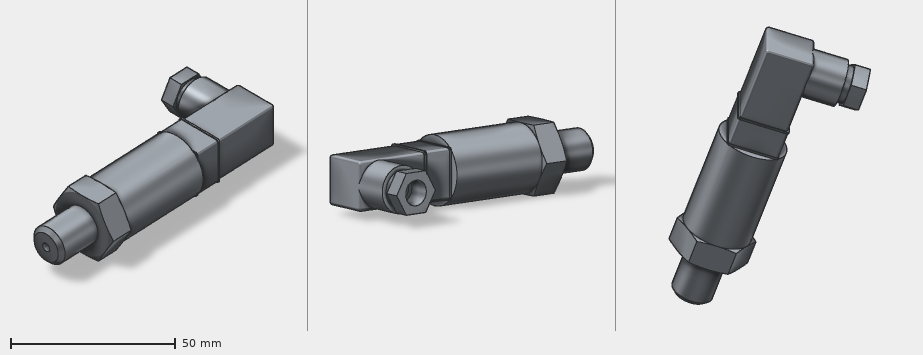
import cadquery as cq
import math

total_length = 92.5
total_width = 38.5

port_diameter = 13.1
port_length = 15.9
port_chamfer = 1.5
port_bore_diameter = 3.0
port_bore_depth = port_length

hex_across_flats = 22.0
hex_thickness = 8.6
hex_across_corners = hex_across_flats / math.cos(math.pi / 6)
hex_chamfer_angle = 15.0

body_diameter = hex_across_flats
body_length = 33.0

gasket_size = 16.6
gasket_thickness = 0.6
base_size = 16.1
base_length = 9.0
housing_size = 15.5
corner_radius = 1.0

gland_reach = total_width - hex_across_corners / 2
barrel_diameter = 15.0
neck_diameter = 12.0
neck_length = 2.2
nut_across_corners = barrel_diameter
nut_thickness = 4.9
cable_bore_diameter = 8.0
cable_bore_depth = nut_thickness + neck_length
inner_bore_diameter = 5.5
inner_bore_depth = gland_reach - housing_size / 2

hex_start = port_length
body_start = hex_start + hex_thickness
body_end = body_start + body_length
base_start = body_end + gasket_thickness
base_end = base_start + base_length
housing_start = base_end + gasket_thickness
gland_y = total_length - barrel_diameter / 2


def plane_at_y(y):
    """Plane facing +Y at station y, with its local x along -X."""
    return cq.Workplane(cq.Plane(origin=(0, y, 0), xDir=(-1, 0, 0), normal=(0, 1, 0)))


def plane_at_x(x):
    """Plane on the gland axis facing +X, with its local x along Y."""
    return cq.Workplane(cq.Plane(origin=(x, gland_y, 0), xDir=(0, 1, 0), normal=(1, 0, 0)))


def make_port():
    port = plane_at_y(0).circle(port_diameter / 2).extrude(port_length)
    return port.faces("<Y").chamfer(port_chamfer)


def make_hexagon():
    """Hexagon whose corners are trimmed by a cone at both ends."""
    flat_radius = hex_across_flats / 2
    corner_reach = hex_across_corners / 2
    trim_depth = (corner_reach - flat_radius) * math.tan(math.radians(hex_chamfer_angle))
    prism = plane_at_y(hex_start).polygon(6, hex_across_corners).extrude(hex_thickness)
    envelope = (
        cq.Workplane("XY")
        .moveTo(0, hex_start)
        .lineTo(flat_radius, hex_start)
        .lineTo(corner_reach, hex_start + trim_depth)
        .lineTo(corner_reach, body_start - trim_depth)
        .lineTo(flat_radius, body_start)
        .lineTo(0, body_start)
        .close()
        .revolve(360, (0, 0, 0), (0, 1, 0))
    )
    return prism.intersect(envelope)


def make_body():
    return plane_at_y(body_start).circle(body_diameter / 2).extrude(body_length)


def rounded_block(size, start, end):
    """Square block along Y with its four long edges rounded."""
    block = plane_at_y(start).rect(size, size).extrude(end - start)
    return block.edges("|Y").fillet(corner_radius)


def make_plug():
    lower_gasket = rounded_block(gasket_size, body_end, base_start)
    base = rounded_block(base_size, base_start, base_end)
    upper_gasket = rounded_block(gasket_size, base_end, housing_start)
    housing = rounded_block(housing_size, housing_start, total_length)
    housing = housing.faces(">Y").edges().fillet(corner_radius)
    return lower_gasket.union(base).union(upper_gasket).union(housing)


def make_gland():
    nut_end = nut_thickness - gland_reach
    neck_end = nut_end + neck_length
    nut = plane_at_x(-gland_reach).polygon(6, nut_across_corners).extrude(nut_thickness)
    neck = plane_at_x(nut_end).circle(neck_diameter / 2).extrude(neck_length)
    barrel = plane_at_x(neck_end).circle(barrel_diameter / 2).extrude(-neck_end)
    return nut.union(neck).union(barrel)


def make_bores():
    port_bore = plane_at_y(0).circle(port_bore_diameter / 2).extrude(port_bore_depth)
    cable_bore = plane_at_x(-gland_reach).circle(cable_bore_diameter / 2).extrude(cable_bore_depth)
    inner_bore = plane_at_x(-gland_reach).circle(inner_bore_diameter / 2).extrude(inner_bore_depth)
    return port_bore.union(cable_bore).union(inner_bore)


solid = make_port()
for section in (make_hexagon(), make_body(), make_plug(), make_gland()):
    solid = solid.union(section)

result = solid.cut(make_bores())